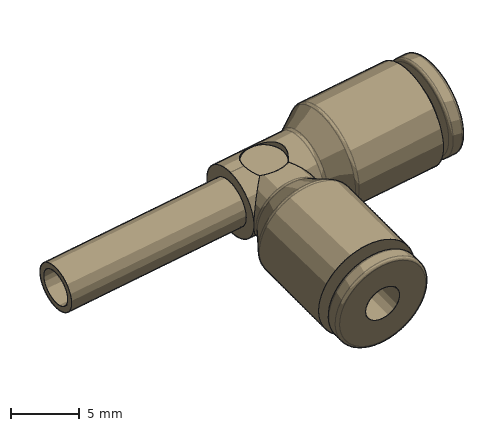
import cadquery as cq


body_radius = 4.25
stem_radius = 2.98
neck_radius = 2.6
collar_radius = 4.05
cone_start = 3.4
cone_end = 5.33
body_end = 12.95
collar_thickness = 1.27
port_end = 15.0
collar_start = port_end - collar_thickness
cone_blend_radius = 0.5
collar_edge_radius = 0.25

overall_length = 33.5
tube_end = overall_length - port_end
tube_radius = 2.0
barrel_end = stem_radius
bore_radius = 1.5

recess_radius = 1.78
recess_floor = 2.4


def cylinder(plane, radius, start, end):
    """Solid cylinder along the plane's normal, between two distances from the origin."""
    return cq.Workplane(plane).workplane(offset=start).circle(radius).extrude(end - start)


def push_in_port():
    """Port along +Y: stem, blended cone, body, narrow neck and release collar."""
    shell = (
        cq.Workplane("XY")
        .polyline([
            (0, 0),
            (stem_radius, 0),
            (stem_radius, cone_start),
            (body_radius, cone_end),
            (body_radius, body_end),
            (0, body_end),
        ])
        .close()
        .revolve(360, (0, 0, 0), (0, 1, 0))
    )
    selection_margin = 0.35
    selection_reach = body_radius + selection_margin
    cone_edges = cq.selectors.BoxSelector(
        (-selection_reach, cone_start - selection_margin, -selection_reach),
        (selection_reach, cone_end + selection_margin, selection_reach),
        boundingbox=True,
    )
    shell = shell.edges("%CIRCLE").edges(cone_edges).fillet(cone_blend_radius)
    neck = cylinder(along_y, neck_radius, 0, port_end)
    collar = cylinder(along_y, collar_radius, collar_start, port_end)
    collar = collar.edges("%CIRCLE").fillet(collar_edge_radius)
    return shell.union(neck).union(collar)


along_x = cq.Plane.named("YZ")
along_y = cq.Plane.named("ZX")

main_port = push_in_port()
branch_port = main_port.rotate((0, 0, 0), (0, 0, 1), -90)

barrel = cylinder(along_y, stem_radius, -barrel_end, 0)
tube = cylinder(along_y, tube_radius, -tube_end, 0)
fitting = main_port.union(barrel).union(branch_port).union(tube)

main_bore = cylinder(along_y, bore_radius, -tube_end, port_end)
branch_bore = cylinder(along_x, bore_radius, 0, port_end)
recess = cylinder(cq.Plane.named("XY"), recess_radius, recess_floor, stem_radius)

result = fitting.cut(main_bore).cut(branch_bore).cut(recess)